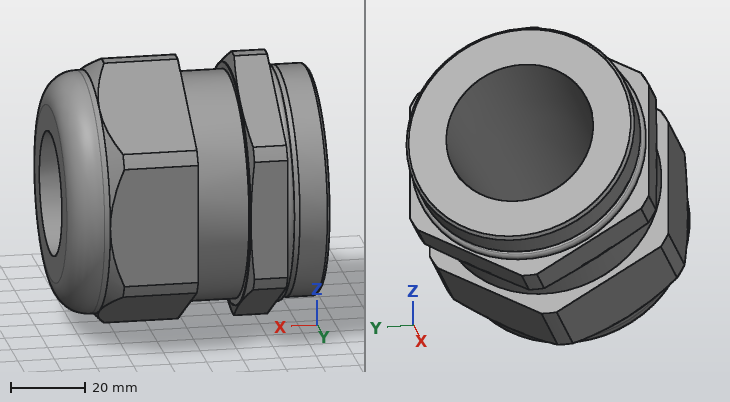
import cadquery as cq
import math

thread_end = 8.35
groove_x = 9.8
hex_start = 12.0
hex_end = 22.0
barrel_start = 22.25
nut_start = 36.5
nut_end = 60.6
dome_start = 62.2
overall_length = 71.0

thread_dia = 63.0
thread_tip_dia = 61.4
barrel_dia = 62.2
seal_dia = 65.0
across_flats = 66.0
across_corners = 73.9
bore_entry_dia = 40.65
bore_exit_dia = 34.0

hex_chamfer_length = 0.95
nut_chamfer_length = 3.85
thread_chamfer = (thread_dia - thread_tip_dia) / 2
dome_radius = overall_length - dome_start


def cylinder(start, end, diameter):
    """Solid cylinder along X between two stations."""
    return cq.Workplane("YZ", origin=(start, 0, 0)).circle(diameter / 2).extrude(end - start)


def revolve_profile(points):
    """Revolve a closed outline of (x, radius) points about the X axis."""
    return cq.Workplane("XY").polyline(points).close().revolve(360, (0, 0, 0), (1, 0, 0))


def hexagon(start, end, chamfer_length):
    """Hexagon with flats facing +-Y, rounded corners and a conical chamfer on its +X end."""
    sharp_corners = across_flats / math.cos(math.pi / 6)
    prism = (
        cq.Workplane("YZ", origin=(start, 0, 0))
        .transformed(rotate=(0, 0, 30))
        .polygon(6, sharp_corners)
        .extrude(end - start)
    )
    turned_blank = revolve_profile([
        (start, 0),
        (start, across_corners / 2),
        (end - chamfer_length, across_corners / 2),
        (end, across_flats / 2),
        (end, 0),
    ])
    return prism.intersect(turned_blank)


spigot = revolve_profile([
    (0, 0),
    (0, thread_tip_dia / 2),
    (thread_chamfer, thread_dia / 2),
    (thread_end, thread_dia / 2),
    (groove_x, thread_tip_dia / 2),
    (groove_x, 0),
])

seal_bead_radius = (hex_start - groove_x) / 2
seal_flank_radius = seal_dia / 2 - seal_bead_radius
seal = (
    cq.Workplane("XY")
    .moveTo(groove_x, 0)
    .lineTo(groove_x, seal_flank_radius)
    .threePointArc((groove_x + seal_bead_radius, seal_dia / 2), (hex_start, seal_flank_radius))
    .lineTo(hex_start, 0)
    .close()
    .revolve(360, (0, 0, 0), (1, 0, 0))
)

body_hex = hexagon(hex_start, hex_end, hex_chamfer_length)
hex_collar = cylinder(hex_end, barrel_start, across_flats)
barrel = cylinder(barrel_start, nut_start, barrel_dia)
nut_hex = hexagon(nut_start, nut_end, nut_chamfer_length)

nut_collar = cylinder(nut_end, dome_start, across_flats)
dome = (
    cq.Workplane("XY")
    .moveTo(dome_start, 0)
    .lineTo(dome_start, across_flats / 2)
    .radiusArc((overall_length, across_flats / 2 - dome_radius), dome_radius)
    .lineTo(overall_length, 0)
    .close()
    .revolve(360, (0, 0, 0), (1, 0, 0))
)

bore = revolve_profile([
    (0, 0),
    (0, bore_entry_dia / 2),
    (overall_length, bore_exit_dia / 2),
    (overall_length, 0),
])

result = spigot
for section in (seal, body_hex, hex_collar, barrel, nut_hex, nut_collar, dome):
    result = result.union(section)
result = result.cut(bore)